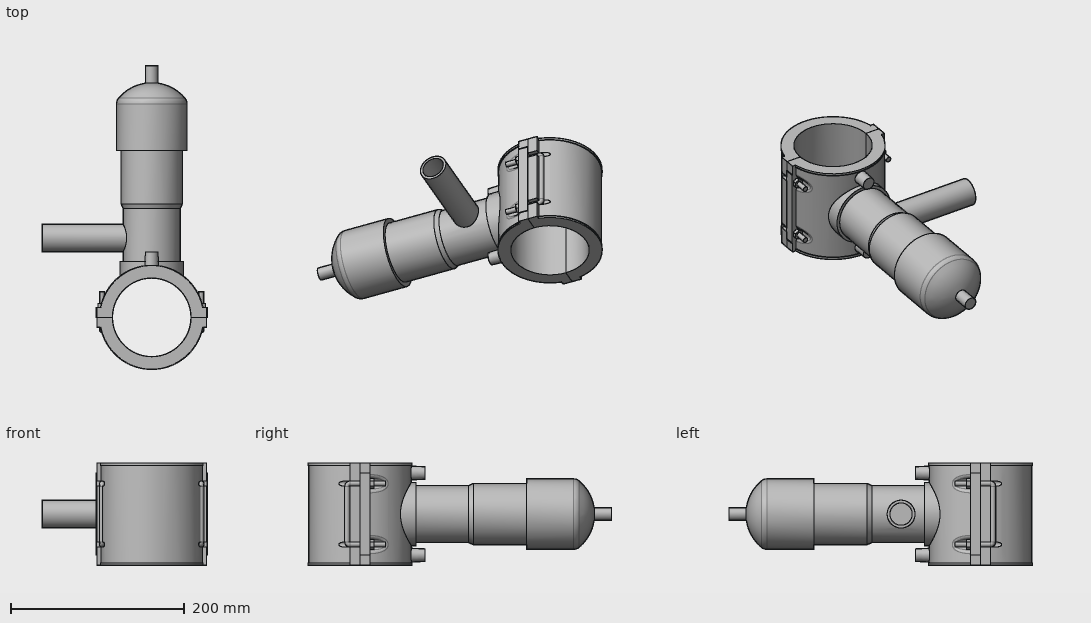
import cadquery as cq
import math

clamp_height = 118.0
bore_radius = 45.0
lip_radius = 60.0
lip_thickness = 3.0
lip_height = 0.8
shell_radius = lip_radius - lip_height

ear_reach = 63.0
ear_thickness = 11.5
pad_height = 1.0
pad_length = 94.0

rod_diameter = 6.0
rod_radius = rod_diameter / 2
rod_inset = 6.0
rod_x = ear_reach - rod_inset
rod_z = 35.0
rod_tip_y = 29.5
rod_bend_radius = 3.2
bar_y = -(ear_thickness + rod_radius)
slot_end_y = -30.0
nut_across_flats = 10.0
nut_thickness = 4.5
nut_recess_diameter = 13.4
nut_recess_rounding = 4.5

collar_diameter = 73.2
collar_top = 64.5
neck_diameter = 65.88
neck_top = 125.0
barrel_diameter = 70.76
barrel_bottom = 130.5
cap_diameter = 81.33
cap_bottom = 191.5
cap_shoulder = 245.5
cap_shoulder_radius = 10.0
cap_dome_radius = 50.0
terminal_diameter = 14.64
terminal_top = 289.25

side_terminal_tip = 75.0
side_terminal_root = 53.0
side_terminal_root_diameter = 16.6
side_terminal_z = 47.2

branch_y = 91.3
branch_end_x = -126.0
branch_diameter = 32.0
branch_bore_diameter = 25.6

SIDES = (-1, 1)


def cylinder_y(diameter, y_start, y_end, x=0.0, z=0.0):
    """Cylinder along +Y between two Y positions."""
    start = cq.Vector(x, y_start, z)
    return cq.Workplane(cq.Solid.makeCylinder(diameter / 2, y_end - y_start, start, cq.Vector(0, 1, 0)))


def box(x_range, y_range, z_half):
    """Box between two X and two Y positions, symmetric about Z = 0."""
    width = x_range[1] - x_range[0]
    depth = y_range[1] - y_range[0]
    corner = cq.Vector(x_range[0], y_range[0], -z_half)
    return cq.Workplane(cq.Solid.makeBox(width, depth, 2 * z_half, corner))


def cylinder_z(radius, height, z_middle=0.0):
    """Solid round bar about the clamp axis."""
    return cq.Workplane("XY", origin=(0, 0, z_middle - height / 2)).circle(radius).extrude(height)


def clamp_blank():
    """Full solid clamp ring: barrel with end lips."""
    blank = cylinder_z(shell_radius, clamp_height)
    for side in SIDES:
        lip_middle = side * (clamp_height - lip_thickness) / 2
        blank = blank.union(cylinder_z(lip_radius, lip_thickness, lip_middle))
    return blank


def cut_nut_recesses(blank):
    """Sink a recess with a rounded rim for each nut, parallel to Y, into the side of the clamp."""
    for side in SIDES:
        for z in (-rod_z, rod_z):
            blank = blank.cut(cylinder_y(nut_recess_diameter, -lip_radius, lip_radius, side * rod_x, z))
    rims = [edge for edge in blank.edges().vals() if edge.geomType() not in ("CIRCLE", "LINE")]
    return blank.newObject(rims).fillet(nut_recess_rounding)


def half_clamp(blank, side):
    """Half of the clamp ring with its two ears, still without the bore."""
    y_range = sorted((0.0, side * lip_radius))
    half = blank.intersect(box((-lip_radius, lip_radius), y_range, clamp_height / 2))
    ear_range = sorted((0.0, side * ear_thickness))
    return half.union(box((-ear_reach, ear_reach), ear_range, clamp_height / 2))


def u_bolt(side):
    """Two legs along Y joined below the lower ear by a bar along Z."""
    x = side * rod_x
    bar_half = rod_z - rod_bend_radius
    leg_start = bar_y + rod_bend_radius
    bolt = cq.Workplane("XY", origin=(x, bar_y, -bar_half)).circle(rod_radius).extrude(2 * bar_half)
    for end in SIDES:
        bolt = bolt.union(cylinder_y(rod_diameter, leg_start, rod_tip_y, x, end * rod_z))
        section = cq.Workplane("XY", origin=(x, bar_y, end * bar_half)).circle(rod_radius)
        bolt = bolt.union(section.revolve(90, (0, rod_bend_radius, 0), (-end, rod_bend_radius, 0)))
    return bolt


def nut(x, z):
    """Hexagon nut seated on the upper ear, with two flats square to X."""
    across_corners = nut_across_flats / math.cos(math.pi / 6)
    seat = cq.Plane(origin=(x, ear_thickness, z), xDir=(0, 0, 1), normal=(0, 1, 0))
    return cq.Workplane(seat).polygon(6, across_corners).extrude(nut_thickness)


def tower():
    """Revolved tower about Y: collar, neck, barrel and domed cap with its terminal."""
    cap_radius = cap_diameter / 2
    shoulder_centre_x = cap_radius - cap_shoulder_radius
    tangent_angle = math.acos(shoulder_centre_x / (cap_dome_radius - cap_shoulder_radius))
    dome_centre_y = cap_shoulder - shoulder_centre_x * math.tan(tangent_angle)

    def shoulder_point(angle):
        """Point of the shoulder arc at an angle from the X direction."""
        return (
            shoulder_centre_x + cap_shoulder_radius * math.cos(angle),
            cap_shoulder + cap_shoulder_radius * math.sin(angle),
        )

    def dome_point(angle):
        """Point of the dome arc at an angle from the X direction."""
        return (cap_dome_radius * math.cos(angle), dome_centre_y + cap_dome_radius * math.sin(angle))

    dome_mid_angle = (tangent_angle + math.pi / 2) / 2
    profile = (
        cq.Workplane("XY")
        .lineTo(collar_diameter / 2, 0)
        .lineTo(collar_diameter / 2, collar_top)
        .lineTo(neck_diameter / 2, collar_top)
        .lineTo(neck_diameter / 2, neck_top)
        .lineTo(barrel_diameter / 2, barrel_bottom)
        .lineTo(barrel_diameter / 2, cap_bottom)
        .lineTo(cap_radius, cap_bottom)
        .lineTo(cap_radius, cap_shoulder)
        .threePointArc(shoulder_point(tangent_angle / 2), shoulder_point(tangent_angle))
        .threePointArc(dome_point(dome_mid_angle), (0, dome_centre_y + cap_dome_radius))
        .close()
    )
    body = profile.revolve(360, (0, 0, 0), (0, 1, 0))
    return body.union(cylinder_y(terminal_diameter, cap_shoulder, terminal_top))


def side_terminal(z):
    """Tapered terminal pin standing on the clamp shell beside the collar."""
    cone = cq.Solid.makeCone(
        side_terminal_root_diameter / 2,
        terminal_diameter / 2,
        side_terminal_tip - side_terminal_root,
        cq.Vector(0, side_terminal_root, z),
        cq.Vector(0, 1, 0),
    )
    return cq.Workplane(cone)


def branch(diameter, x_inner):
    """Round bar of the branch pipe, from its open end inward along +X."""
    start = cq.Vector(branch_end_x, branch_y, 0)
    length = x_inner - branch_end_x
    return cq.Workplane(cq.Solid.makeCylinder(diameter / 2, length, start, cq.Vector(1, 0, 0)))


def make_saddle():
    """Upper clamp half with the tower, branch, terminals, nuts and U-bolts."""
    saddle = half_clamp(cut_nut_recesses(clamp_blank()), 1)
    for side in SIDES:
        x_range = sorted((0, side * (ear_reach + pad_height)))
        saddle = saddle.union(box(x_range, (0, ear_thickness), pad_length / 2))
        for z in (-rod_z, rod_z):
            saddle = saddle.union(nut(side * rod_x, z))
    saddle = saddle.union(tower()).union(branch(branch_diameter, 0))
    for z in (-side_terminal_z, side_terminal_z):
        saddle = saddle.union(side_terminal(z))
    saddle = saddle.cut(cylinder_z(bore_radius, clamp_height))
    saddle = saddle.cut(branch(branch_bore_diameter, -neck_diameter / 2))
    for side in SIDES:
        saddle = saddle.union(u_bolt(side))
    return saddle


def make_strap():
    """Lower clamp half, slotted for the U-bolt legs and grooved for their bars."""
    strap = half_clamp(clamp_blank(), -1).cut(cylinder_z(bore_radius, clamp_height))
    for side in SIDES:
        x_range = sorted((side * rod_x, side * ear_reach))
        for z in (-rod_z, rod_z):
            strap = strap.cut(cylinder_y(rod_diameter, slot_end_y, 0, side * rod_x, z))
            slot = box(x_range, (slot_end_y, 0), rod_radius).translate((0, 0, z))
            strap = strap.cut(slot)
        strap = strap.cut(u_bolt(side))
    return strap


saddle = make_saddle()
strap = make_strap()
result = cq.Compound.makeCompound([saddle.val(), strap.val()])